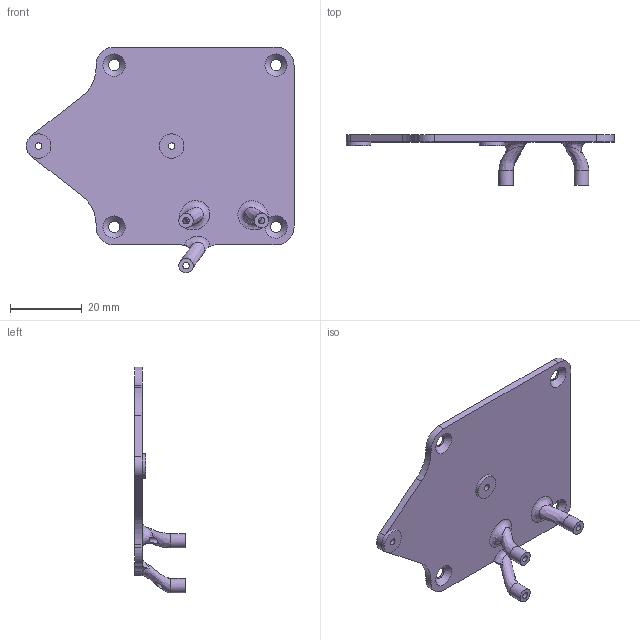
import cadquery as cq
import math

plate_size = 55.0
plate_thickness = 2.0
corner_radius = 5.0
half_plate = plate_size / 2
front_y = -plate_thickness

ear_length = 19.51
ear_tip_radius = 3.5
ear_slope = math.radians(38.0)
ear_blend_radius = 10.0
ear_tip_x = -half_plate - ear_length + ear_tip_radius

screw_spacing = 45.0
screw_diameter = 3.2
countersink_diameter = 6.2
countersink_angle = 90.0

pad_diameter = 6.8
pad_height = 1.0
pad_spacing = 37.0
pad_hole_diameter = 1.8

post_diameter = 4.0
post_radius = post_diameter / 2
post_height = 12.0
post_tip_length = 4.0
post_hole_diameter = 1.8
upper_hole_depth = 10.0
post_fillet = 2.0
selection_margin = 0.1
tip_start_y = front_y - post_height + post_tip_length
post_end_y = front_y - post_height

upper_post_z = -20.75
lower_post_z = -33.25
left_post_x = -2.5
right_post_x = 18.5
upper_leg_shift = 3.0
upper_leg_rise = 1.85
lower_leg_shift = 3.4
lower_leg_rise = 4.82
upper_left_tip = (left_post_x, upper_post_z)
upper_right_tip = (right_post_x, upper_post_z)
lower_tip = (left_post_x, lower_post_z)
upper_left_base = (left_post_x + upper_leg_shift, upper_post_z + upper_leg_rise)
upper_right_base = (right_post_x - upper_leg_shift, upper_post_z + upper_leg_rise)
lower_base = (left_post_x + lower_leg_shift, lower_post_z + lower_leg_rise)

upper_base_handle = 2.6
upper_tip_handle = 4.0
lower_base_handle = 1.6
lower_tip_handle = 2.5

foot_blend_left = 3.0
foot_blend_right = 3.5
foot_slab_size = 30.0


def on_plane(y):
    """Workplane at the given Y that faces -Y, with local axes along +X and +Z."""
    return cq.Workplane("XZ", origin=(0, y, 0))


def cylinder(center, diameter, start_y, length):
    """Round bar that starts at start_y and runs towards -Y."""
    return on_plane(start_y).center(*center).circle(diameter / 2).extrude(length)


def make_ear():
    """Ear with a round tip, two sloping sides and hollow blends into the plate's left edge."""
    slope_start_x = ear_tip_x - ear_tip_radius * math.sin(ear_slope)
    slope_start_z = ear_tip_radius * math.cos(ear_slope)
    meet_z = slope_start_z + (-half_plate - slope_start_x) * math.tan(ear_slope)
    half_turn = (math.pi / 2 - ear_slope) / 2
    setback = ear_blend_radius * math.tan(half_turn)
    slope_end_x = -half_plate - setback * math.cos(ear_slope)
    slope_end_z = meet_z - setback * math.sin(ear_slope)
    blend_top_z = meet_z + setback
    blend_mid_x = -half_plate - ear_blend_radius * (1 - math.cos(half_turn))
    blend_mid_z = blend_top_z - ear_blend_radius * math.sin(half_turn)
    return (
        on_plane(0)
        .moveTo(slope_start_x, -slope_start_z)
        .threePointArc((ear_tip_x - ear_tip_radius, 0), (slope_start_x, slope_start_z))
        .lineTo(slope_end_x, slope_end_z)
        .threePointArc((blend_mid_x, blend_mid_z), (-half_plate, blend_top_z))
        .lineTo(0, blend_top_z)
        .lineTo(0, -blend_top_z)
        .lineTo(-half_plate, -blend_top_z)
        .threePointArc((blend_mid_x, -blend_mid_z), (slope_end_x, -slope_end_z))
        .close()
        .extrude(plate_thickness)
    )


def make_foot(depth):
    """Round foot that bulges past the plate's bottom edge and blends into that edge."""
    base_x, base_z = lower_base
    bottom_z = -half_plate
    overhang = bottom_z - base_z

    def blend(radius, side):
        """Blend on one side (-1 or 1): end on the plate edge, middle point, end on the foot."""
        reach = math.sqrt((post_radius + radius) ** 2 - (radius - overhang) ** 2)
        center_x = base_x + side * reach
        center_z = bottom_z - radius
        share = post_radius / (post_radius + radius)
        foot_x = base_x + (center_x - base_x) * share
        foot_z = base_z + (center_z - base_z) * share
        foot_angle = math.atan2(foot_z - center_z, side * (center_x - foot_x))
        middle_angle = (math.pi / 2 + foot_angle) / 2
        middle_x = center_x - side * radius * math.cos(middle_angle)
        middle_z = center_z + radius * math.sin(middle_angle)
        return (center_x, bottom_z), (middle_x, middle_z), (foot_x, foot_z)

    top_z = base_z + post_radius + 2 * post_fillet
    left_edge, left_middle, left_foot = blend(foot_blend_left, -1)
    right_edge, right_middle, right_foot = blend(foot_blend_right, 1)
    return (
        on_plane(0)
        .moveTo(left_edge[0], top_z)
        .lineTo(*left_edge)
        .threePointArc(left_middle, left_foot)
        .threePointArc((base_x, base_z - post_radius), right_foot)
        .threePointArc(right_middle, right_edge)
        .lineTo(right_edge[0], top_z)
        .close()
        .extrude(depth)
    )


def make_leg(base, tip, base_handle, tip_handle):
    """S-shaped leg whose round section stays parallel to the plate, leaving both ends along -Y."""
    base_x, base_z = base
    tip_x, tip_z = tip
    curve = cq.Edge.makeBezier([
        cq.Vector(base_x, front_y, base_z),
        cq.Vector(base_x, front_y - base_handle, base_z),
        cq.Vector(tip_x, tip_start_y + tip_handle, tip_z),
        cq.Vector(tip_x, tip_start_y, tip_z),
    ])
    path = cq.Workplane(obj=cq.Wire.assembleEdges([curve]))
    section = on_plane(front_y).center(*base).circle(post_radius)
    return section.sweep(path, normal=(0, -1, 0))


def fillet_leg_base(body, base):
    """Round the corner between a leg and the front face it stands on."""
    base_x, base_z = base
    reach = post_radius + selection_margin
    box = cq.selectors.BoxSelector(
        (base_x - reach, front_y - selection_margin, base_z - reach),
        (base_x + reach, front_y + selection_margin, base_z + reach),
    )
    return body.edges(box).fillet(post_fillet)


def add_tip_and_hole(body, tip, hole_depth):
    """Straight end of a post, drilled from its free end."""
    body = body.union(cylinder(tip, post_diameter, tip_start_y, post_tip_length))
    return body.cut(cylinder(tip, post_hole_diameter, post_end_y + hole_depth, hole_depth))


def add_upper_post(body, base, tip):
    leg = make_leg(base, tip, upper_base_handle, upper_tip_handle)
    body = fillet_leg_base(body.union(leg), base)
    return add_tip_and_hole(body, tip, upper_hole_depth)


def add_lower_post(body):
    """Post on the plate's bottom edge: its base fillet is trimmed to the blended foot."""
    leg = make_leg(lower_base, lower_tip, lower_base_handle, lower_tip_handle)
    slab = on_plane(0).center(*lower_base).rect(foot_slab_size, foot_slab_size).extrude(plate_thickness)
    flared = fillet_leg_base(slab.union(leg), lower_base)
    foot = flared.intersect(make_foot(post_height)).cut(leg)
    body = body.union(foot.union(leg))
    return add_tip_and_hole(body, lower_tip, post_height + plate_thickness)


def add_pad(body, center):
    body = body.union(cylinder(center, pad_diameter, front_y, pad_height))
    return body.cut(cylinder(center, pad_hole_diameter, 0, plate_thickness + pad_height))


def cut_screw_holes(body):
    return (
        body.copyWorkplane(on_plane(front_y))
        .rect(screw_spacing, screw_spacing, forConstruction=True)
        .vertices()
        .cskHole(screw_diameter, countersink_diameter, countersink_angle)
    )


body = on_plane(0).rect(plate_size, plate_size).extrude(plate_thickness)
body = body.edges("|Y").fillet(corner_radius)
body = body.union(make_ear())
body = add_upper_post(body, upper_left_base, upper_left_tip)
body = add_upper_post(body, upper_right_base, upper_right_tip)
body = add_lower_post(body)
for pad_x in (ear_tip_x, ear_tip_x + pad_spacing):
    body = add_pad(body, (pad_x, 0))
result = cut_screw_holes(body)